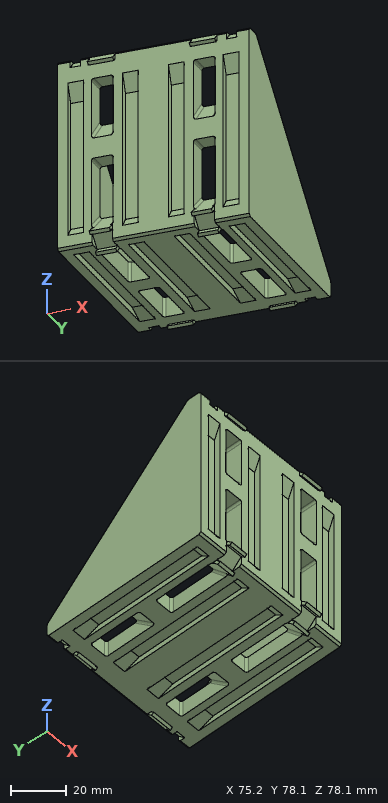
import cadquery as cq
import math


outer_size = 78.1
width = 75.2
leg = 75.4
end_land = 6.5
edge_chamfer = 0.9

wall = 7.9
side_wall = 5.6
hollow_fillet = 1.0
rim_fillet = 1.3

column_offset = 20.0
slot_width = 8.4
slot_fillet = 0.9
upper_slot_top = 66.2
upper_slot_bottom = 42.4
upper_slot_inner_bottom = 51.0
lower_slot_top = 34.4
lower_slot_inner_bottom = 13.7
lower_slope = math.radians(42)
lower_slot_bottom = lower_slot_inner_bottom - wall * math.tan(lower_slope)

inner_groove_offset = 9.0
outer_groove_offset = 30.45
groove_width = 6.1
groove_depth = 2.65
groove_top = upper_slot_top
groove_bottom = 5.4
groove_top_run = 7.0
groove_bottom_run = 3.5

clip_thickness = 1.4
corner_clip_width = 8.0
corner_clip_reach = outer_size - leg
end_clip_width = 10.0
end_clip_reach = 2.2
end_clip_slope = math.radians(45)

notch_offset = 30.6
notch_width = 4.0
notch_size = 3.1


def prism(points, x_center, x_width):
    """Extrude a (Y, Z) outline by x_width, centred on x_center."""
    start = x_center - x_width / 2
    return cq.Workplane("YZ").workplane(offset=start).polyline(points).close().extrude(x_width)


def both_walls(shape):
    """Join a front wall shape with its twin on the bottom wall."""
    return shape.union(shape.mirror(cq.Vector(0, 1, -1)))


def make_block():
    outline = [
        (edge_chamfer, 0),
        (leg - edge_chamfer, 0),
        (leg, edge_chamfer),
        (leg, end_land),
        (end_land, leg),
        (edge_chamfer, leg),
        (0, leg - edge_chamfer),
        (0, edge_chamfer),
    ]
    return prism(outline, 0, width)


def make_hollow():
    """Square block whose lower front edges are rounded; it passes out through the sloping face."""
    far = leg + end_land
    outline = [(wall, wall), (far, wall), (far, far), (wall, far)]
    block = prism(outline, 0, width - 2 * side_wall)
    return block.edges("<Y or <Z").fillet(hollow_fillet)


def round_rim(body):
    """Round the edge of the opening in the sloping face."""
    sloping_face = cq.selectors.DirectionMinMaxSelector(cq.Vector(0, 1, 1))
    rim = body.faces(sloping_face).wires(cq.selectors.LengthNthSelector(0))
    return rim.fillet(rim_fillet)


def make_slot(x, top, bottom, inner_bottom):
    """Slot through the wall with a level top and a bottom that rises inwards."""
    slope = (inner_bottom - bottom) / wall
    overrun = hollow_fillet
    outline = [
        (-overrun, top),
        (-overrun, bottom - slope * overrun),
        (wall + overrun, inner_bottom + slope * overrun),
        (wall + overrun, top),
    ]
    slot = prism(outline, x, slot_width)
    through_edges = slot.edges("not(|X)").edges("not(|Z)")
    return through_edges.fillet(slot_fillet)


def make_groove(x):
    outline = [
        (0, groove_top),
        (0, groove_bottom),
        (groove_depth, groove_bottom + groove_bottom_run),
        (groove_depth, groove_top - groove_top_run),
    ]
    return prism(outline, x, groove_width)


def make_notch(x):
    outline = [(0, leg), (0, leg - notch_size), (notch_size, leg)]
    return prism(outline, x, notch_width)


def make_clip(x, clip_width, root_y, reach, height, slope):
    """Plate whose upper face passes through (Y, Z) = (0, height) and falls towards -Y."""
    root_z = height + root_y * math.tan(slope)
    tip_z = height - reach * math.tan(slope)
    shift_y = clip_thickness * math.sin(slope)
    shift_z = -clip_thickness * math.cos(slope)
    outline = [
        (root_y, root_z),
        (-reach, tip_z),
        (-reach + shift_y, tip_z + shift_z),
        (root_y + shift_y, root_z + shift_z),
    ]
    return prism(outline, x, clip_width)


def make_corner_clip(x):
    """Clip that continues the bottom of the lower slot."""
    return make_clip(
        x, corner_clip_width, edge_chamfer, corner_clip_reach, lower_slot_bottom, lower_slope
    )


def make_end_clip(x):
    """Clip that continues the chamfer at the free end of the wall."""
    return make_clip(x, end_clip_width, 0, end_clip_reach, leg - edge_chamfer, end_clip_slope)


def make_corner_relief(x):
    """Chamfer between the two corner clips, reaching the underside of each."""
    size = lower_slot_bottom - clip_thickness / math.cos(lower_slope)
    return prism([(0, 0), (size, 0), (0, size)], x, corner_clip_width)


result = round_rim(make_block().cut(make_hollow()))

for side in (-1, 1):
    column_x = side * column_offset
    upper_slot = make_slot(column_x, upper_slot_top, upper_slot_bottom, upper_slot_inner_bottom)
    lower_slot = make_slot(column_x, lower_slot_top, lower_slot_bottom, lower_slot_inner_bottom)
    result = result.cut(make_corner_relief(column_x))
    result = result.union(both_walls(make_corner_clip(column_x)))
    result = result.union(both_walls(make_end_clip(column_x)))
    result = result.cut(both_walls(upper_slot))
    result = result.cut(both_walls(lower_slot))
    result = result.cut(both_walls(make_groove(side * inner_groove_offset)))
    result = result.cut(both_walls(make_groove(side * outer_groove_offset)))
    result = result.cut(both_walls(make_notch(side * notch_offset)))